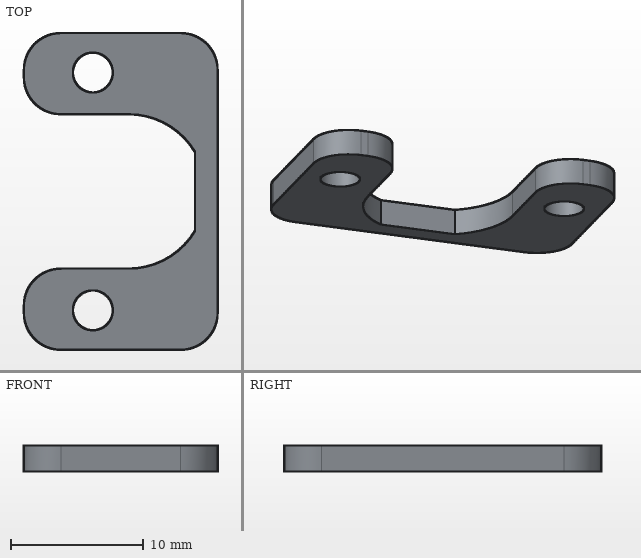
import cadquery as cq

length = 24.0
width = 14.7
thickness = 2.0
corner_radius = 2.8

slot_width = 11.66
slot_radius = slot_width / 2
slot_center_x = 7.95
back_wall = 1.73
slot_depth = width - back_wall

hole_diameter = 3.0
hole_x = 5.23
hole_spacing = 18.0


def plate_block(size_x, size_y):
    """Block of plate thickness, starting at the open edge and centred on Y."""
    return cq.Workplane("XY").box(size_x, size_y, thickness, centered=(False, True, False))


def slot_cutter():
    """Straight slot with a round end, trimmed to leave the back wall."""
    straight = plate_block(slot_center_x, slot_width)
    round_end = cq.Workplane("XY").center(slot_center_x, 0).circle(slot_radius).extrude(thickness)
    return straight.union(round_end).intersect(plate_block(slot_depth, slot_width))


def hole_cutter():
    """Pair of cylinders placed symmetrically about the slot."""
    centers = [(hole_x, side * hole_spacing / 2) for side in (-1, 1)]
    return cq.Workplane("XY").pushPoints(centers).circle(hole_diameter / 2).extrude(thickness)


outer_corners = [(x, side * length / 2) for x in (0, width) for side in (-1, 1)]
arm_inner_corners = [(0, side * slot_width / 2) for side in (-1, 1)]

bracket = plate_block(width, length).cut(slot_cutter())
for x, y in outer_corners + arm_inner_corners:
    corner_edge = cq.selectors.NearestToPointSelector((x, y, thickness / 2))
    bracket = bracket.edges("|Z").edges(corner_edge).fillet(corner_radius)

result = bracket.cut(hole_cutter())